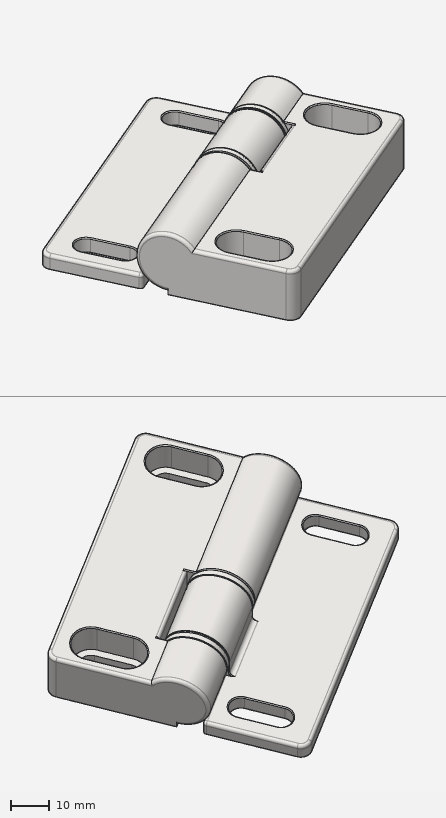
import cadquery as cq
import math

WIDTH = 72.0
LENGTH = 80.0
THIN_LEAF_HEIGHT = 4.45
THICK_LEAF_HEIGHT = 15.5
CORNER_RADIUS = 3.0
EDGE_RADIUS = 1.0
EDGE_BREAK = 0.3

AXIS_Z = 10.0
BARREL_RADIUS = 9.0
WASHER_RADIUS = 9.05
KNUCKLE_ROOT_RADIUS = 1.5

NOTCH_START = 1.2
END_PLAY = 0.3
WASHER_THICKNESS = 1.5
KNUCKLE_LENGTH = 20.0
SHIM_THICKNESS = 0.4
LOWER_WASHER_START = NOTCH_START + END_PLAY
KNUCKLE_START = LOWER_WASHER_START + WASHER_THICKNESS
KNUCKLE_END = KNUCKLE_START + KNUCKLE_LENGTH
SHIM_START = KNUCKLE_END
UPPER_WASHER_START = SHIM_START + SHIM_THICKNESS
NOTCH_END = UPPER_WASHER_START + WASHER_THICKNESS

NOTCH_WALL_X = 9.5
THIN_LEAF_INNER_X = -7.1

SLOT_Y = 32.0
THIN_SLOT_X = -20.5
THIN_SLOT_LENGTH = 17.5
THIN_SLOT_WIDTH = 6.5
THICK_SLOT_X = 21.0
THICK_SLOT_LENGTH = 16.5
THICK_SLOT_WIDTH = 6.5
COUNTERBORE_LENGTH = 20.5
COUNTERBORE_WIDTH = 10.5
COUNTERBORE_FLOOR_Z = 6.5


def block(x_start, x_end, y_start, y_end, height):
    """Box standing on the base plane between the given X and Y limits."""
    box = cq.Workplane("XY").box(x_end - x_start, y_end - y_start, height, centered=False)
    return box.translate((x_start, y_start, 0))


def section_plane(y):
    """Workplane across the hinge axis, with local x along X and local y along Z."""
    return cq.Workplane("XZ", origin=(0, y, 0))


def disc(radius, y_start, thickness):
    """Cylinder about the hinge axis."""
    return section_plane(y_start).center(0, AXIS_Z).circle(radius).extrude(-thickness)


def slot_pair(x, length, width, z_start, z_end):
    """Two slot-shaped cutters, one near each end of a leaf."""
    plane = cq.Workplane("XY", origin=(x, 0, z_start)).pushPoints([(0, -SLOT_Y), (0, SLOT_Y)])
    return plane.slot2D(length, width).extrude(z_end - z_start)


def slot_rims(x, length, width, top_z):
    """Cutters that chamfer the rims of the two slots at the top face of a leaf."""
    plane = cq.Workplane("XY", origin=(x, 0, top_z)).pushPoints([(0, -SLOT_Y), (0, SLOT_Y)])
    rims = plane.slot2D(length + 2 * EDGE_BREAK, width + 2 * EDGE_BREAK)
    return rims.extrude(-EDGE_BREAK, taper=45)


def make_knuckle():
    """Middle knuckle: barrel with a foot filling its lower quarter and a rounded root on the plate."""
    root_z = THIN_LEAF_HEIGHT + KNUCKLE_ROOT_RADIUS
    root_x = -BARREL_RADIUS - KNUCKLE_ROOT_RADIUS
    bend = KNUCKLE_ROOT_RADIUS * math.sqrt(0.5)
    diagonal = BARREL_RADIUS * math.sqrt(0.5)
    outline = (
        section_plane(KNUCKLE_START)
        .moveTo(0, 0)
        .lineTo(root_x, 0)
        .lineTo(root_x, THIN_LEAF_HEIGHT)
        .threePointArc((root_x + bend, root_z - bend), (-BARREL_RADIUS, root_z))
        .lineTo(-BARREL_RADIUS, AXIS_Z)
        .threePointArc((diagonal, AXIS_Z + diagonal), (0, AXIS_Z - BARREL_RADIUS))
        .close()
    )
    knuckle = outline.extrude(-KNUCKLE_LENGTH)
    return knuckle.faces("<Y or >Y").edges("not(<Z or <X)").chamfer(EDGE_BREAK)


def make_thin_leaf():
    """Flat leaf carrying the middle knuckle."""
    half = LENGTH / 2
    leaf = block(-WIDTH / 2, THIN_LEAF_INNER_X, -half, half, THIN_LEAF_HEIGHT)
    leaf = leaf.edges("|Z and <X").fillet(CORNER_RADIUS)
    leaf = leaf.edges("|Z and >X").fillet(EDGE_RADIUS)
    leaf = leaf.faces(">Z").edges("<X or <Y or >Y").fillet(EDGE_RADIUS)
    leaf = leaf.union(make_knuckle())
    leaf = leaf.cut(slot_pair(THIN_SLOT_X, THIN_SLOT_LENGTH, THIN_SLOT_WIDTH, 0, THIN_LEAF_HEIGHT))
    return leaf.cut(slot_rims(THIN_SLOT_X, THIN_SLOT_LENGTH, THIN_SLOT_WIDTH, THIN_LEAF_HEIGHT))


def notch_cutter():
    """Through notch for the stack, its wall flaring out in a quarter round at the top face."""
    flare_x = NOTCH_WALL_X + EDGE_RADIUS
    flare_z = THICK_LEAF_HEIGHT - EDGE_RADIUS
    bend = EDGE_RADIUS * math.sqrt(0.5)
    clear_x = -2 * BARREL_RADIUS
    clear_z = AXIS_Z + 2 * BARREL_RADIUS
    outline = (
        section_plane(NOTCH_START)
        .moveTo(clear_x, 0)
        .lineTo(NOTCH_WALL_X, 0)
        .lineTo(NOTCH_WALL_X, flare_z)
        .threePointArc((flare_x - bend, flare_z + bend), (flare_x, THICK_LEAF_HEIGHT))
        .lineTo(flare_x, clear_z)
        .lineTo(clear_x, clear_z)
        .close()
    )
    return outline.extrude(NOTCH_START - NOTCH_END)


def outer_knuckle(outer_y, inner_y):
    """Outer knuckle, rounded at the end of the leaf and chamfered where it faces the stack."""
    outer_side, inner_side = ("<Y", ">Y") if outer_y < inner_y else (">Y", "<Y")
    knuckle = disc(BARREL_RADIUS, min(outer_y, inner_y), abs(inner_y - outer_y))
    knuckle = knuckle.faces(outer_side).edges().fillet(EDGE_RADIUS)
    return knuckle.faces(inner_side).edges().chamfer(EDGE_BREAK)


def notch_end_break(y):
    """Cutter that chamfers the flat top edge at one end of the notch, from the barrel to the flare."""
    x_start = math.sqrt(BARREL_RADIUS**2 - (THICK_LEAF_HEIGHT - AXIS_Z) ** 2)
    x_end = NOTCH_WALL_X + EDGE_RADIUS
    outline = (
        cq.Workplane("YZ", origin=(x_start, y, THICK_LEAF_HEIGHT))
        .moveTo(-EDGE_BREAK, 0)
        .lineTo(0, -EDGE_BREAK)
        .lineTo(EDGE_BREAK, 0)
        .close()
    )
    return outline.extrude(x_end - x_start)


def make_thick_leaf():
    """Block leaf with the two outer knuckles, notched for the stack between them."""
    half = LENGTH / 2
    leaf = block(0, WIDTH / 2, -half, half, THICK_LEAF_HEIGHT)
    leaf = leaf.edges("|Z and >X").fillet(CORNER_RADIUS)
    leaf = leaf.faces(">Z").edges(">X or <Y or >Y").fillet(EDGE_RADIUS)
    leaf = leaf.cut(notch_cutter())
    for outer_y, inner_y in ((-half, NOTCH_START), (half, NOTCH_END)):
        leaf = leaf.union(outer_knuckle(outer_y, inner_y))
        leaf = leaf.cut(notch_end_break(inner_y))
    leaf = leaf.cut(slot_pair(THICK_SLOT_X, THICK_SLOT_LENGTH, THICK_SLOT_WIDTH, 0, THICK_LEAF_HEIGHT))
    size = (COUNTERBORE_LENGTH, COUNTERBORE_WIDTH)
    leaf = leaf.cut(slot_pair(THICK_SLOT_X, *size, COUNTERBORE_FLOOR_Z, THICK_LEAF_HEIGHT))
    return leaf.cut(slot_rims(THICK_SLOT_X, *size, THICK_LEAF_HEIGHT))


thin_leaf = make_thin_leaf()
thick_leaf = make_thick_leaf()
washers = [disc(WASHER_RADIUS, y, WASHER_THICKNESS) for y in (LOWER_WASHER_START, UPPER_WASHER_START)]
shim = disc(WASHER_RADIUS, SHIM_START, SHIM_THICKNESS)

bodies = [thin_leaf, thick_leaf, *washers, shim]
result = cq.Compound.makeCompound([body.val() for body in bodies])